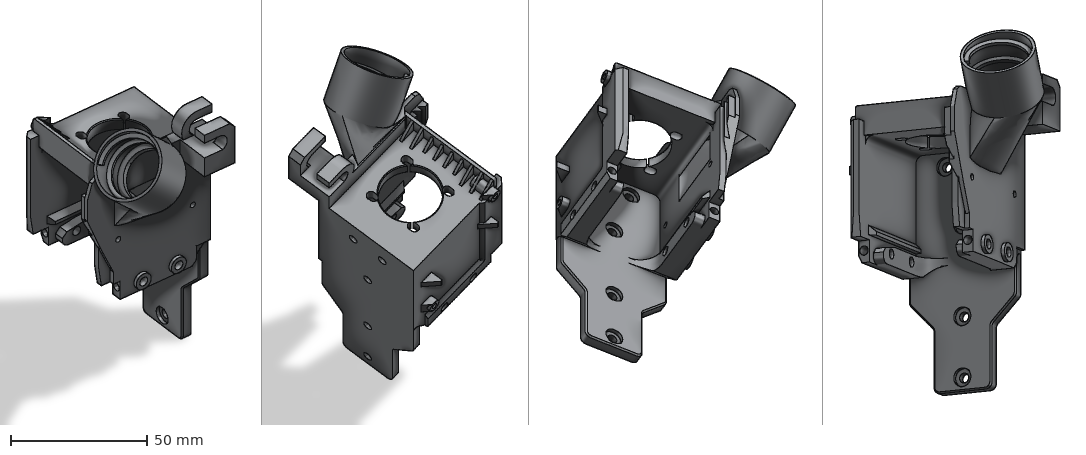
import cadquery as cq
import math


PLATE_THICKNESS = 4.2
PLATE_HALF_WIDTH = 22.0
TAIL_HALF_WIDTH = 11.9
TAIL_TOP_Z = 24.2
SHOULDER_Z = TAIL_TOP_Z + PLATE_HALF_WIDTH - TAIL_HALF_WIDTH
TAIL_CORNER_RADIUS = 2.5
PLATE_EDGE_CHAMFER = 0.6
SCREW_HOLE_DIA = 3.7
SCREW_HEAD_DIA = 7.0
SCREW_HEAD_DEPTH = 1.5
SCREW_PLACES = [(0, 5.2), (0, 28.1), (0, 62.6), (-7, 84.9), (7, 84.9)]

BOX_TOP_Z = 94.8
CEILING_Z = 90.0
CAVITY_HALF_WIDTH = 19.1
CAVITY_CORNER_RADIUS = 3.0
WALL_OUTER_X = 23.6
WALL_BOTTOM_Z = 51.5
GUARD_FRONT_Y = -50.7
GUARD_TOP_Z = 95.3
GUARD_OUTER_X = 21.6
GUARD_TAPER_Z = 60.2
GUARD_TAPER = 1.3
GUARD_CORNER_CHAMFER = 2.2
BOX_FRONT_Y = -45.3

RECESS_DEPTH = 1.5
RECESS_FRONT_Y = -37.4
RECESS_BOTTOM_Z = 53.0
RECESS_OVERRUN = 10.0

FAN_X = -0.2
FAN_Y = -24.0
FAN_HOLE_DIA = 23.8
FAN_RIM_DIA = 24.6
FAN_SLOT_OFFSET = 9.9
FAN_SLOT_LENGTH = 4.7
FAN_SLOT_WIDTH = 3.4

VISOR_THICKNESS = 1.4
VISOR_FRONT_Y = BOX_FRONT_Y - VISOR_THICKNESS
VISOR_HALF_WIDTH = 22.6
VISOR_CORNER_RADIUS = 0.9
VISOR_TOP_Z = 101.3
GUSSET_THICKNESS = 1.2
GUSSET_PITCH = 4.8
GUSSET_COUNT = 10
INNER_GUSSETS = (3, 4, 5, 6)
OUTER_GUSSET_REACH = 6.7
INNER_GUSSET_REACH = 4.8

RIGHT_WALL_TOP_Z = 103.4
RIGHT_RISER_INNER_X = 18.5
SHEET_THICKNESS = 1.7
SHEET_FRONT_Y = -57.5
SHEET_TOP_END_Y = -52.8
SHEET_BROW = (-55.3, 101.8)
SHEET_FRONT_BOTTOM_Z = 85.6
SHEET_GUARD_BOTTOM_Z = 69.0
SHEET_BACK_BOTTOM_Z = 57.0
RIB_TOP_Z = 95.0
RIB_DEPTH = 2.6
RIB_TIPS = [(-53.6, -53.2), (-57.0, -55.7)]
SHEET_OUTLINE = [
    (BOX_FRONT_Y, RIGHT_WALL_TOP_Z),
    (SHEET_TOP_END_Y, RIGHT_WALL_TOP_Z),
    SHEET_BROW,
    (SHEET_FRONT_Y, RIB_TOP_Z),
    (SHEET_FRONT_Y, SHEET_FRONT_BOTTOM_Z),
    (GUARD_FRONT_Y, SHEET_GUARD_BOTTOM_Z),
    (BOX_FRONT_Y, SHEET_BACK_BOTTOM_Z),
]

RIDGE_HEIGHT = 2.2
RIDGE_TOP_Z = 56.9
RIDGE_BOTTOM_Z = 53.3
RIDGE_FRONT_Y = -43.0

FLANGE_BOTTOM_Z = 43.2
FLANGE_FRONT_Y = -42.2
FLANGE_STEP_Y = -6.5
FLANGE_BACK_Y = -1.9
FLANGE_BACK_Z = 50.0
FLANGE_HOLE_Z = 47.7
FLANGE_HOLE_YS = [-15.9, -32.3]
FLANGE_CHAMFER_HEIGHT = 2.8
FLANGE_CHAMFER_WIDTH = 1.4
FRONT_HOLE_DIA = 3.4
FRONT_HOLE_X = 21.35
FRONT_HOLE_DEPTH = 8.0
ARM_INNER_X = 15.0
ARM_TOP_Z = 50.6
ARM_SLOPE_Y = -29.5
ARM_SLOPE_Z = 49.3
ARM_NOSE_Y = -39.0
ARM_NOSE_TOP_Z = 47.2
ARM_NOSE_RADIUS = 3.0
ARM_ROOT_FILLET = 8.9
NUT_BOSS_X = 25.0

PANEL_X = -WALL_OUTER_X + RECESS_DEPTH
HOOK_TIP_X = -27.25
HOOK_TIP_FLAT = 0.7
HOOK_HEIGHT = 3.1
HOOK_Z = 78.3
HOOK_BACK_YS = [-4.4, -36.5]
BOSS_DIA = 5.0
BOSS_HOLE_DIA = 2.3
BOSS_X = -25.2
BOSS_RAMP_CREST = 1.0
SIDE_BOSS_Y = -8.3
SIDE_BOSS_Z = 60.7
SIDE_BOSS_HOLE_DEPTH = 5.0
TOP_BOSS_Y = -43.1
TOP_BOSS_Z = 95.7
TOP_BOSS_LENGTH = 10.3
TOP_BOSS_HOLE_DEPTH = 8.0
WALL_HOLE_Z = 71.0

CLIP_DEPTH = 14.2
CLIP_TOP_Z = 113.7
CLIP_BORE_DIA = 7.0
CLIP_BORE_Z = CLIP_TOP_Z - CLIP_DEPTH / 2
CLIP_HOOK_END_X = 24.5
CLIP_GAP_END_X = 32.4
CLIP_END_X = 38.1
CLIP_BACK_CHAMFER = 2.4

TUBE_DIA = 28.0
TUBE_LENGTH = 20.0
TUBE_SIDE_LEAN = 10.0
TUBE_MOUTH = cq.Vector(37.36, -49.42, 115.62)
BORE_DIA = 25.5
BORE_DEPTH = 17.3
THROAT_DIA = 20.7
THREAD_CREST_DIA = 22.0
THREAD_PITCH = 7.7
THREAD_TURNS = 1.7
THREAD_ROOT_WIDTH = 2.2
THREAD_CREST_WIDTH = 1.2
THREAD_START_DEPTH = 1.7
THREAD_START_ANGLE = 120.0
FUNNEL_BACK_Y = -17.0
FUNNEL_FRONT_Y = -44.5
FUNNEL_BOTTOM_Z = 72.0
FUNNEL_WALL = 1.8


def block(x, y, z):
    """Box from three (low, high) ranges."""
    return (
        cq.Workplane("XY")
        .box(x[1] - x[0], y[1] - y[0], z[1] - z[0], centered=False)
        .translate((x[0], y[0], z[0]))
    )


def side_prism(points, x):
    """Outline in (Y, Z) extruded over an X range."""
    return cq.Workplane("YZ").workplane(offset=x[0]).polyline(points).close().extrude(x[1] - x[0])


def plan_prism(points, z):
    """Outline in (X, Y) extruded over a Z range."""
    return cq.Workplane("XY").workplane(offset=z[0]).polyline(points).close().extrude(z[1] - z[0])


def x_cylinder(dia, y, z, x):
    return cq.Workplane("YZ").workplane(offset=x[0]).center(y, z).circle(dia / 2).extrude(x[1] - x[0])


def mirrored(shape):
    """The shape joined with its copy on the other side of X = 0."""
    return shape.union(shape.mirror("YZ"))


def back_plate():
    half_outline = [
        (TAIL_HALF_WIDTH, 0),
        (TAIL_HALF_WIDTH, TAIL_TOP_Z),
        (PLATE_HALF_WIDTH, SHOULDER_Z),
        (PLATE_HALF_WIDTH, BOX_TOP_Z),
    ]
    outline = half_outline + [(-x, z) for x, z in reversed(half_outline)]
    plate = cq.Workplane("XZ").polyline(outline).close().extrude(PLATE_THICKNESS)
    plate = plate.edges("|Y and (not >Z)").fillet(TAIL_CORNER_RADIUS)
    return plate.faces("<Y").chamfer(PLATE_EDGE_CHAMFER)


def screw_holes():
    through = cq.Workplane("XZ").pushPoints(SCREW_PLACES).circle(SCREW_HOLE_DIA / 2).extrude(PLATE_THICKNESS)
    heads = (
        cq.Workplane("XZ")
        .workplane(offset=PLATE_THICKNESS - SCREW_HEAD_DEPTH)
        .pushPoints(SCREW_PLACES)
        .circle(SCREW_HEAD_DIA / 2)
        .extrude(SCREW_HEAD_DEPTH)
    )
    return through.union(heads)


def guard_outline():
    return [
        (BOX_FRONT_Y, GUARD_TOP_Z),
        (GUARD_FRONT_Y, GUARD_TOP_Z),
        (GUARD_FRONT_Y, GUARD_TAPER_Z),
        (GUARD_FRONT_Y + GUARD_TAPER, WALL_BOTTOM_Z),
        (BOX_FRONT_Y, WALL_BOTTOM_Z),
    ]


def box_shell():
    """Ceiling and side walls with the recess in the left wall and the front guards."""
    shell = block((-WALL_OUTER_X, WALL_OUTER_X), (BOX_FRONT_Y, 0), (WALL_BOTTOM_Z, BOX_TOP_Z))
    left_guard = side_prism(guard_outline(), (-WALL_OUTER_X, -CAVITY_HALF_WIDTH))
    corner = GUARD_FRONT_Y + GUARD_CORNER_CHAMFER
    corner_cut = plan_prism(
        [
            (-WALL_OUTER_X, corner),
            (-WALL_OUTER_X, GUARD_FRONT_Y),
            (-WALL_OUTER_X + GUARD_CORNER_CHAMFER, GUARD_FRONT_Y),
        ],
        (WALL_BOTTOM_Z, GUARD_TOP_Z),
    )
    right_guard = side_prism(guard_outline(), (CAVITY_HALF_WIDTH, GUARD_OUTER_X))
    cavity = (
        block(
            (-CAVITY_HALF_WIDTH, CAVITY_HALF_WIDTH),
            (BOX_FRONT_Y, -PLATE_THICKNESS),
            (0, CEILING_Z),
        )
        .edges("|Y and >Z")
        .fillet(CAVITY_CORNER_RADIUS)
    )
    return shell.cut(cavity).union(left_guard.cut(corner_cut)).union(right_guard)


def panel_recess():
    """Sunk panel of the left wall, with flanks sloping at 45 degrees."""
    back_y = RECESS_OVERRUN
    top_z = BOX_TOP_Z + RECESS_OVERRUN
    panel = (
        cq.Workplane("YZ")
        .workplane(offset=PANEL_X)
        .polyline(
            [
                (back_y, RECESS_BOTTOM_Z),
                (RECESS_FRONT_Y, RECESS_BOTTOM_Z),
                (RECESS_FRONT_Y, top_z),
                (back_y, top_z),
            ]
        )
        .close()
        .extrude(-RECESS_DEPTH, taper=-45)
    )
    back_notch = block((-WALL_OUTER_X, PANEL_X), (FLANGE_STEP_Y, 0), (WALL_BOTTOM_Z, RECESS_BOTTOM_Z))
    return panel.union(back_notch)


def fan_opening():
    height = BOX_TOP_Z - CEILING_Z
    rim = (FAN_RIM_DIA - FAN_HOLE_DIA) / 2
    base = cq.Workplane("XY").workplane(offset=CEILING_Z).center(FAN_X, FAN_Y)
    hole = base.circle(FAN_HOLE_DIA / 2).extrude(height)
    slots = (
        base.rect(2 * FAN_SLOT_OFFSET, 2 * FAN_SLOT_OFFSET, forConstruction=True)
        .vertices()
        .slot2D(FAN_SLOT_LENGTH, FAN_SLOT_WIDTH)
        .extrude(height)
    )
    rim_cut = (
        cq.Workplane("XY")
        .workplane(offset=BOX_TOP_Z - rim)
        .center(FAN_X, FAN_Y)
        .circle(FAN_HOLE_DIA / 2)
        .workplane(offset=rim)
        .circle(FAN_RIM_DIA / 2)
        .loft()
    )
    return hole.union(slots).union(rim_cut)


def visor():
    """Upright front strip above the opening, braced from behind by triangular gussets."""
    strip = block(
        (-VISOR_HALF_WIDTH, VISOR_HALF_WIDTH),
        (VISOR_FRONT_Y, BOX_FRONT_Y),
        (CEILING_Z, VISOR_TOP_Z),
    )
    strip = strip.edges("|Y and >Z").fillet(VISOR_CORNER_RADIUS)
    first_x = -GUSSET_PITCH * (GUSSET_COUNT - 1) / 2
    for index in range(GUSSET_COUNT):
        reach = INNER_GUSSET_REACH if index in INNER_GUSSETS else OUTER_GUSSET_REACH
        x = first_x + index * GUSSET_PITCH - GUSSET_THICKNESS / 2
        gusset = side_prism(
            [
                (BOX_FRONT_Y, BOX_TOP_Z),
                (BOX_FRONT_Y + reach, BOX_TOP_Z),
                (BOX_FRONT_Y, BOX_TOP_Z + min(reach, VISOR_TOP_Z - BOX_TOP_Z)),
            ],
            (x, x + GUSSET_THICKNESS),
        )
        strip = strip.union(gusset)
    return strip


def right_wall():
    """Raised right wall, its thin front sheet and the two light-trap ribs."""
    sheet_x = WALL_OUTER_X - SHEET_THICKNESS
    riser = plan_prism(
        [
            (RIGHT_RISER_INNER_X, 0),
            (WALL_OUTER_X, 0),
            (WALL_OUTER_X, VISOR_FRONT_Y),
            (sheet_x, VISOR_FRONT_Y),
            (RIGHT_RISER_INNER_X, VISOR_FRONT_Y + sheet_x - RIGHT_RISER_INNER_X),
        ],
        (CEILING_Z, RIGHT_WALL_TOP_Z),
    )
    sheet = side_prism(SHEET_OUTLINE, (sheet_x, WALL_OUTER_X))
    wall = riser.union(sheet)
    rib_envelope = side_prism(SHEET_OUTLINE, (sheet_x - RIB_DEPTH, sheet_x))
    for rib_front_y, tip_back_y in RIB_TIPS:
        rib = plan_prism(
            [
                (sheet_x, rib_front_y),
                (sheet_x - RIB_DEPTH, rib_front_y),
                (sheet_x - RIB_DEPTH, tip_back_y),
                (sheet_x, tip_back_y + RIB_DEPTH),
            ],
            (WALL_BOTTOM_Z, RIB_TOP_Z),
        )
        wall = wall.union(rib.intersect(rib_envelope))
    return wall


def catch_ridges():
    """Triangular ridges along the inner faces of both side walls."""
    tip_x = CAVITY_HALF_WIDTH - RIDGE_HEIGHT
    ridge = (
        cq.Workplane("XZ")
        .workplane(offset=PLATE_THICKNESS)
        .polyline(
            [
                (CAVITY_HALF_WIDTH, RIDGE_TOP_Z),
                (tip_x, RIDGE_TOP_Z - RIDGE_HEIGHT),
                (tip_x, RIDGE_BOTTOM_Z),
                (CAVITY_HALF_WIDTH, RIDGE_BOTTOM_Z),
            ]
        )
        .close()
        .extrude(-RIDGE_FRONT_Y - PLATE_THICKNESS)
    )
    end_cut = plan_prism(
        [
            (tip_x, RIDGE_FRONT_Y + RIDGE_HEIGHT),
            (tip_x, RIDGE_FRONT_Y),
            (CAVITY_HALF_WIDTH, RIDGE_FRONT_Y),
        ],
        (RIDGE_BOTTOM_Z, RIDGE_TOP_Z),
    )
    return mirrored(ridge.cut(end_cut))


def clamp_arm():
    """Inner arm beside the right flange, with a rounded nose and a filleted root."""
    nose_low_z = FLANGE_BOTTOM_Z + ARM_NOSE_RADIUS
    bend = ARM_NOSE_RADIUS * (1 - math.sqrt(0.5))
    arm = (
        cq.Workplane("YZ")
        .workplane(offset=ARM_INNER_X)
        .moveTo(0, FLANGE_BOTTOM_Z)
        .lineTo(0, ARM_TOP_Z)
        .lineTo(ARM_SLOPE_Y, ARM_TOP_Z)
        .lineTo(ARM_NOSE_Y + ARM_SLOPE_Z - ARM_NOSE_TOP_Z, ARM_SLOPE_Z)
        .lineTo(ARM_NOSE_Y, ARM_NOSE_TOP_Z)
        .lineTo(ARM_NOSE_Y, nose_low_z)
        .threePointArc(
            (ARM_NOSE_Y + bend, FLANGE_BOTTOM_Z + bend), (ARM_NOSE_Y + ARM_NOSE_RADIUS, FLANGE_BOTTOM_Z)
        )
        .close()
        .extrude(CAVITY_HALF_WIDTH - ARM_INNER_X)
    )
    root = block(
        (ARM_INNER_X - ARM_ROOT_FILLET, ARM_INNER_X),
        (-PLATE_THICKNESS - ARM_ROOT_FILLET, 0),
        (FLANGE_BOTTOM_Z, ARM_TOP_Z),
    )
    scoop = (
        cq.Workplane("XY")
        .workplane(offset=FLANGE_BOTTOM_Z)
        .center(ARM_INNER_X - ARM_ROOT_FILLET, -PLATE_THICKNESS - ARM_ROOT_FILLET)
        .circle(ARM_ROOT_FILLET)
        .extrude(ARM_TOP_Z - FLANGE_BOTTOM_Z)
    )
    return arm.union(root.cut(scoop))


def flanges():
    """Clamp flanges below both walls, cut back at 45 degrees where they meet the plate."""
    outer = block(
        (CAVITY_HALF_WIDTH, WALL_OUTER_X),
        (FLANGE_FRONT_Y, FLANGE_STEP_Y),
        (FLANGE_BOTTOM_Z, WALL_BOTTOM_Z),
    )
    heel = block(
        (CAVITY_HALF_WIDTH, -PANEL_X),
        (FLANGE_STEP_Y, 0),
        (FLANGE_BOTTOM_Z, WALL_BOTTOM_Z),
    )
    pair = mirrored(outer.union(heel).union(clamp_arm()))
    run = FLANGE_BACK_Z - FLANGE_BOTTOM_Z
    back_cut = side_prism(
        [
            (FLANGE_BACK_Y, FLANGE_BACK_Z),
            (FLANGE_BACK_Y - run, FLANGE_BOTTOM_Z),
            (0, FLANGE_BOTTOM_Z),
            (0, FLANGE_BACK_Z),
        ],
        (-WALL_OUTER_X, WALL_OUTER_X),
    )
    edge_cut = (
        cq.Workplane("XZ")
        .polyline(
            [
                (-WALL_OUTER_X, FLANGE_BOTTOM_Z),
                (-WALL_OUTER_X, FLANGE_BOTTOM_Z + FLANGE_CHAMFER_HEIGHT),
                (-WALL_OUTER_X + FLANGE_CHAMFER_WIDTH, FLANGE_BOTTOM_Z),
            ]
        )
        .close()
        .extrude(-FLANGE_FRONT_Y)
    )
    pair = pair.cut(back_cut).cut(edge_cut)
    for y in FLANGE_HOLE_YS:
        pair = pair.union(x_cylinder(SCREW_HEAD_DIA, y, FLANGE_HOLE_Z, (WALL_OUTER_X, NUT_BOSS_X)))
    return pair


def flange_holes():
    front = (
        cq.Workplane("XZ")
        .workplane(offset=-FLANGE_FRONT_Y - FRONT_HOLE_DEPTH)
        .pushPoints([(-FRONT_HOLE_X, FLANGE_HOLE_Z), (FRONT_HOLE_X, FLANGE_HOLE_Z)])
        .circle(FRONT_HOLE_DIA / 2)
        .extrude(FRONT_HOLE_DEPTH)
    )
    for y in FLANGE_HOLE_YS:
        front = front.union(x_cylinder(SCREW_HOLE_DIA, y, FLANGE_HOLE_Z, (-WALL_OUTER_X, NUT_BOSS_X)))
    return front


def snap_hooks():
    """Two wedge hooks on the left wall, sloping out at 45 degrees towards the front."""
    hooks = cq.Workplane("XY")
    reach = PANEL_X - HOOK_TIP_X
    for back_y in HOOK_BACK_YS:
        front_y = back_y - reach - HOOK_TIP_FLAT
        hook = plan_prism(
            [
                (PANEL_X, back_y),
                (HOOK_TIP_X, back_y - reach),
                (HOOK_TIP_X, front_y),
                (PANEL_X, front_y),
            ],
            (HOOK_Z - HOOK_HEIGHT / 2, HOOK_Z + HOOK_HEIGHT / 2),
        )
        hooks = hooks.union(hook)
    return hooks


def wedge_boss(y, z, inner_x):
    """Round screw boss reaching out of the left wall, with a 45 degree ramp behind it."""
    reach = PANEL_X - BOSS_X
    boss = x_cylinder(BOSS_DIA, y, z, (BOSS_X, inner_x))
    ramp = plan_prism(
        [
            (PANEL_X, y),
            (PANEL_X, y + reach + BOSS_RAMP_CREST),
            (BOSS_X, y + BOSS_RAMP_CREST),
            (BOSS_X, y),
        ],
        (z - BOSS_DIA / 2, z + BOSS_DIA / 2),
    )
    return boss.union(ramp)


def wall_bosses():
    side = wedge_boss(SIDE_BOSS_Y, SIDE_BOSS_Z, PANEL_X)
    top = wedge_boss(TOP_BOSS_Y, TOP_BOSS_Z, BOSS_X + TOP_BOSS_LENGTH)
    return side.union(top)


def wall_holes():
    """Blind pilot holes in the left bosses and plain holes through the right wall."""
    holes = x_cylinder(BOSS_HOLE_DIA, SIDE_BOSS_Y, SIDE_BOSS_Z, (BOSS_X, BOSS_X + SIDE_BOSS_HOLE_DEPTH))
    holes = holes.union(
        x_cylinder(BOSS_HOLE_DIA, TOP_BOSS_Y, TOP_BOSS_Z, (BOSS_X, BOSS_X + TOP_BOSS_HOLE_DEPTH))
    )
    for y in (SIDE_BOSS_Y, TOP_BOSS_Y):
        holes = holes.union(x_cylinder(BOSS_HOLE_DIA, y, WALL_HOLE_Z, (CAVITY_HALF_WIDTH, WALL_OUTER_X)))
    return holes


def clip_hook(x, slot_end_y):
    """Upright with a bore and a slot from the bore to the front or back face."""
    middle_y = -CLIP_DEPTH / 2
    radius = CLIP_BORE_DIA / 2
    hook = block(x, (-CLIP_DEPTH, 0), (RIGHT_WALL_TOP_Z, CLIP_TOP_Z))
    slot = block(
        x,
        (min(slot_end_y, middle_y), max(slot_end_y, middle_y)),
        (CLIP_BORE_Z - radius, CLIP_BORE_Z + radius),
    )
    return hook.cut(slot).cut(x_cylinder(CLIP_BORE_DIA, middle_y, CLIP_BORE_Z, x))


def cable_clip():
    """Base behind the funnel carrying two hooks that open in opposite directions."""
    base = block((RIGHT_RISER_INNER_X, CLIP_END_X), (-CLIP_DEPTH, 0), (BOX_TOP_Z, RIGHT_WALL_TOP_Z))
    hook_x = (RIGHT_RISER_INNER_X, CLIP_HOOK_END_X)
    back_half = block(hook_x, (-CLIP_DEPTH / 2, 0), (RIGHT_WALL_TOP_Z, CLIP_TOP_Z))
    rounding = x_cylinder(CLIP_DEPTH, -CLIP_DEPTH / 2, CLIP_BORE_Z, hook_x).union(back_half)
    round_hook = clip_hook(hook_x, 0).intersect(rounding)
    square_hook = clip_hook((CLIP_GAP_END_X, CLIP_END_X), -CLIP_DEPTH)
    square_hook = square_hook.edges("|X and >Y and >Z").chamfer(CLIP_BACK_CHAMFER)
    return base.union(round_hook).union(square_hook)


LEAN = math.radians(TUBE_SIDE_LEAN)
AXIS = cq.Vector(math.sin(LEAN), -math.cos(LEAN) * math.sqrt(0.5), math.cos(LEAN) * math.sqrt(0.5))
RISE = cq.Vector(0, math.sqrt(0.5), math.sqrt(0.5))
ACROSS = RISE.cross(AXIS)


def socket_cylinder(dia, start, length):
    """Cylinder on the socket axis; `start` is its depth below the mouth."""
    return cq.Workplane(obj=cq.Solid.makeCylinder(dia / 2, length, TUBE_MOUTH - AXIS * start, AXIS * -1))


def socket_bore():
    bore = socket_cylinder(BORE_DIA, 0, BORE_DEPTH)
    return bore.union(socket_cylinder(THROAT_DIA, BORE_DEPTH, TUBE_LENGTH - BORE_DEPTH))


def hose_thread():
    """Right-handed internal thread ridge, rooted half way into the socket wall."""
    root_radius = (BORE_DIA + TUBE_DIA) / 4
    crest_radius = THREAD_CREST_DIA / 2
    path = cq.Wire.makeHelix(THREAD_PITCH, THREAD_PITCH * THREAD_TURNS, crest_radius)
    ridge = (
        cq.Workplane("XZ")
        .polyline(
            [
                (root_radius, -THREAD_ROOT_WIDTH / 2),
                (crest_radius, -THREAD_CREST_WIDTH / 2),
                (crest_radius, THREAD_CREST_WIDTH / 2),
                (root_radius, THREAD_ROOT_WIDTH / 2),
            ]
        )
        .close()
        .sweep(cq.Workplane(obj=path), isFrenet=True)
    )
    angle = math.radians(THREAD_START_ANGLE)
    start = cq.Plane(
        origin=TUBE_MOUTH - AXIS * THREAD_START_DEPTH,
        xDir=RISE * math.cos(angle) - ACROSS * math.sin(angle),
        normal=AXIS * -1,
    )
    return cq.Workplane(obj=ridge.val().moved(cq.Location(start)))


def funnel_solid(dia, inset):
    """Loft from a rectangle on the right wall to the inner end of the socket."""
    back_y = FUNNEL_BACK_Y - inset
    front_y = FUNNEL_FRONT_Y + inset
    bottom_z = FUNNEL_BOTTOM_Z + inset
    top_z = RIGHT_WALL_TOP_Z - inset
    x = CAVITY_HALF_WIDTH
    corners = [(back_y, top_z), (front_y, top_z), (front_y, bottom_z), (back_y, bottom_z)]
    rectangle = cq.Wire.makePolygon([cq.Vector(x, y, z) for y, z in corners], close=True)
    centre = TUBE_MOUTH - AXIS * TUBE_LENGTH

    def rim(angle):
        turn = math.radians(angle)
        return centre + RISE * (dia / 2 * math.cos(turn)) + ACROSS * (dia / 2 * math.sin(turn))

    arcs = [
        cq.Edge.makeThreePointArc(rim(-quarter), rim(-quarter - 45), rim(-quarter - 90))
        for quarter in range(0, 360, 90)
    ]
    circle = cq.Wire.assembleEdges(arcs)
    return cq.Workplane(obj=cq.Solid.makeLoft([rectangle, circle], True))


def build():
    part = back_plate().union(box_shell())
    part = part.cut(panel_recess())
    features = [
        visor(),
        right_wall(),
        catch_ridges(),
        flanges(),
        snap_hooks(),
        wall_bosses(),
        cable_clip(),
    ]
    for feature in features:
        part = part.union(feature)
    part = part.union(funnel_solid(TUBE_DIA, 0)).union(socket_cylinder(TUBE_DIA, 0, TUBE_LENGTH))
    part = part.cut(funnel_solid(THROAT_DIA, FUNNEL_WALL)).cut(socket_bore())
    part = part.union(hose_thread())
    for opening in (screw_holes(), fan_opening(), flange_holes(), wall_holes()):
        part = part.cut(opening)
    return part


result = build()